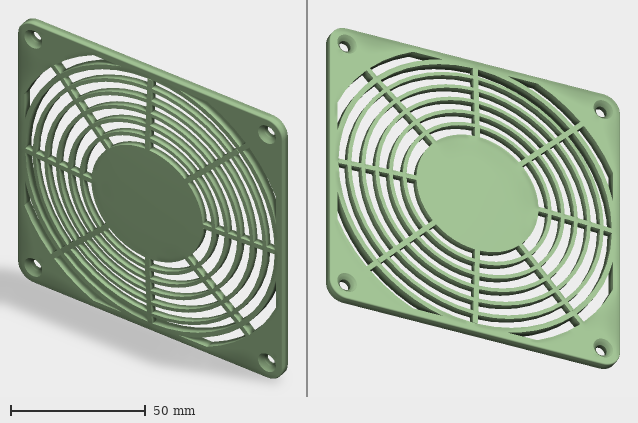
import cadquery as cq

side = 119.0
frame_thickness = 3.8
corner_radius = 7.0
edge_fillet = 0.5

total_depth = 6.28
dome_radius = 56.0
dome_thickness = 2.8
sphere_radius = 680.0

hub_radius = 25.0
slot_width = 4.0
ring_width = 1.5
slot_pitch = slot_width + ring_width
slot_count = 6
spoke_width = 2.0
spoke_count = 8

outer_ring_width = 2.0
window_inner_radius = dome_radius + outer_ring_width
window_outer_radius = 62.0
window_half_side = 56.5

hole_pitch = 105.0
hole_diameter = 4.5
countersink_diameter = 8.0
countersink_angle = 90.0


def disc(radius):
    """Cylinder along Y that spans the full depth of the part."""
    return cq.Workplane("XZ").circle(radius).extrude(total_depth)


def annulus(inner_radius, outer_radius):
    """Tube along Y that spans the full depth of the part."""
    return disc(outer_radius).cut(disc(inner_radius))


def make_frame():
    """Rounded square plate with both face outlines rounded over."""
    plate = cq.Workplane("XZ").rect(side, side).extrude(frame_thickness)
    plate = plate.edges("|Y").fillet(corner_radius)
    return plate.faces("<Y or >Y").edges().fillet(edge_fillet)


def sphere_ball(radius):
    """Ball on the common centre of the dome's front and back surfaces."""
    return cq.Workplane("XY").sphere(radius).translate((0, sphere_radius - total_depth, 0))


def make_dome():
    """Shallow spherical shell of even thickness that fills the frame opening."""
    shell = disc(dome_radius).intersect(sphere_ball(sphere_radius))
    return shell.cut(sphere_ball(sphere_radius - dome_thickness))


def make_spokes():
    """Radial bars that are left standing across all the openings."""
    bar = cq.Workplane("XZ").rect(2 * side, spoke_width).extrude(total_depth)
    spokes = bar
    spoke_angle = 360 / spoke_count
    for index in range(1, spoke_count // 2):
        spokes = spokes.union(bar.rotate((0, 0, 0), (0, 1, 0), index * spoke_angle))
    return spokes


def make_openings():
    """Ring slots and corner windows, interrupted by the spokes."""
    window_side = 2 * window_half_side
    window_square = cq.Workplane("XZ").rect(window_side, window_side).extrude(total_depth)
    openings = annulus(window_inner_radius, window_outer_radius).intersect(window_square)
    for index in range(slot_count):
        inner_radius = hub_radius + index * slot_pitch
        slot_end = inner_radius + slot_width
        outer_radius = min(slot_end, dome_radius)
        openings = openings.union(annulus(inner_radius, outer_radius))
    return openings.cut(make_spokes())


def add_mounting_holes(body):
    """Countersunk screw holes in the four corners, sunk from the front."""
    return (
        body.faces("<Y")
        .workplane(origin=(0, -frame_thickness, 0))
        .rect(hole_pitch, hole_pitch, forConstruction=True)
        .vertices()
        .cskHole(hole_diameter, countersink_diameter, countersink_angle)
    )


frame = add_mounting_holes(make_frame()).cut(disc(dome_radius))
result = frame.union(make_dome()).cut(make_openings())